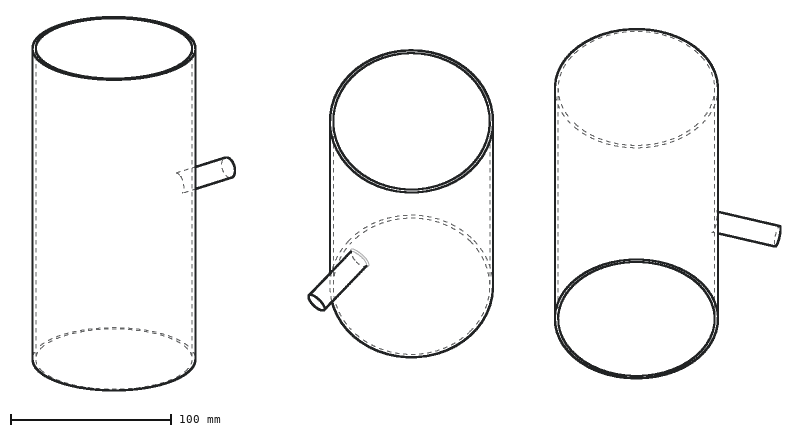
import cadquery as cq

tube_height = 209.5
tube_diameter = 101.7
tube_wall = 2.0

stem_diameter = 13.2
stem_root_fillet = 1.0
overall_depth = 143.0

tube_radius = tube_diameter / 2
bore_radius = tube_radius - tube_wall
stem_radius = stem_diameter / 2
stem_end = overall_depth - tube_radius


def upright_cylinder(radius):
    """Full-height cylinder about the tube axis."""
    return cq.Workplane("XY").circle(radius).extrude(tube_height / 2, both=True)


stem = cq.Workplane("XZ").circle(stem_radius).extrude(-stem_end)
body = upright_cylinder(tube_radius).union(stem)

root_zone = cq.selectors.BoxSelector(
    (-stem_diameter, 0, -stem_diameter),
    (stem_diameter, tube_radius + stem_root_fillet, stem_diameter),
    boundingbox=True,
)
body = body.edges(root_zone).fillet(stem_root_fillet)

result = body.cut(upright_cylinder(bore_radius))